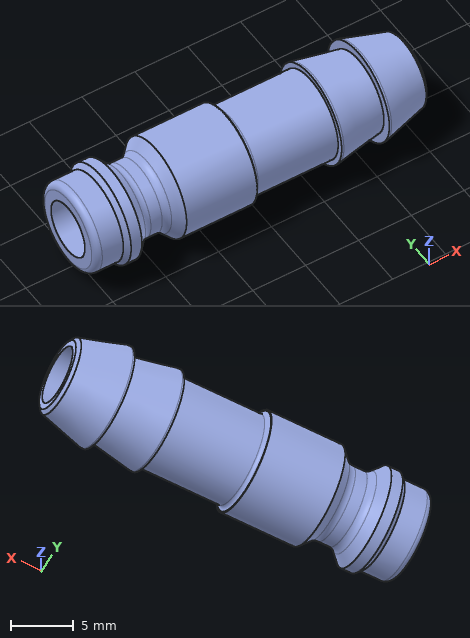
import cadquery as cq
import math


total_length = 32.0
bore_radius = 4.95 / 2

plug_length = 15.0
plug_radius = 9.0 / 2
nose_radius = 8.1 / 2
nose_length = 2.62
nose_fillet = 0.6
flange_end = 4.1
groove_radius = 6.65 / 2
groove_fillet = 1.0
collar_start = 8.32

tube_radius = 8.0 / 2
root_fillet = 0.4
barb_radius = 9.02 / 2
barb_pitch = 4.5
barb_land = 0.2
first_barb_end_radius = 3.7
second_barb_end_radius = 3.3
tip_chamfer = 0.3
second_barb_start = total_length - barb_pitch
first_barb_start = second_barb_start - barb_pitch


def revolve_about_x(outline):
    """Close a half section drawn as (x, radius) and turn it around the X axis."""
    return outline.close().revolve(360, (0, 0, 0), (1, 0, 0))


def make_plug():
    flank_angle = math.radians(45)
    flange_start = nose_length + plug_radius - nose_radius
    groove_depth = plug_radius - groove_radius
    groove_left = flange_end + groove_depth
    groove_right = collar_start - groove_depth

    tangent_length = groove_fillet * math.tan(flank_angle / 2)
    flank_run = tangent_length * math.cos(flank_angle)
    flank_radius = groove_radius + flank_run

    outline = (
        cq.Workplane("XY")
        .moveTo(0, bore_radius)
        .lineTo(0, nose_radius - nose_fillet)
        .radiusArc((nose_fillet, nose_radius), nose_fillet)
        .lineTo(nose_length, nose_radius)
        .lineTo(flange_start, plug_radius)
        .lineTo(flange_end, plug_radius)
        .lineTo(groove_left - flank_run, flank_radius)
        .radiusArc((groove_left + tangent_length, groove_radius), -groove_fillet)
        .lineTo(groove_right - tangent_length, groove_radius)
        .radiusArc((groove_right + flank_run, flank_radius), -groove_fillet)
        .lineTo(collar_start, plug_radius)
        .lineTo(plug_length, plug_radius)
        .lineTo(plug_length, bore_radius)
    )
    return revolve_about_x(outline)


def make_hose_tail():
    outline = (
        cq.Workplane("XY")
        .moveTo(plug_length, bore_radius)
        .lineTo(plug_length, tube_radius + root_fillet)
        .radiusArc((plug_length + root_fillet, tube_radius), -root_fillet)
        .lineTo(first_barb_start, tube_radius)
        .lineTo(first_barb_start, barb_radius)
        .lineTo(first_barb_start + barb_land, barb_radius)
        .lineTo(second_barb_start, first_barb_end_radius)
        .lineTo(second_barb_start, barb_radius)
        .lineTo(second_barb_start + barb_land, barb_radius)
        .lineTo(total_length, second_barb_end_radius)
        .lineTo(total_length, bore_radius)
    )
    tip_edge = cq.selectors.RadiusNthSelector(-1)
    return revolve_about_x(outline).faces(">X").edges(tip_edge).chamfer(tip_chamfer)


plug = make_plug()
hose_tail = make_hose_tail()

result = cq.Compound.makeCompound([plug.val(), hose_tail.val()])